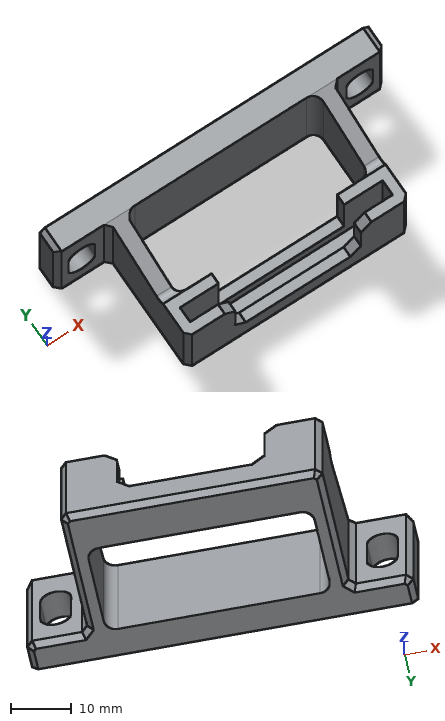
import cadquery as cq

plate_width = 65.0
plate_thickness = 5.0
plate_height = 20.0
edge_chamfer = 1.05

frame_width = 44.0
frame_depth = 23.1
side_wall = 3.0
corner_radius = 2.0

holder_height = 17.0
front_wall = 2.0
slot_thickness = 3.0
rear_wall = 2.1
slot_width = 40.05
slot_floor = 3.0

window_width = 24.8
window_floor = 6.05
window_chamfer = 2.1

slope_end_height = 16.2
slope_foot_width = 1.95

hole_width = 5.2
hole_height = 10.2
hole_spacing = 55.0

plate_front = -plate_thickness
frame_front = plate_front - frame_depth
slot_front = frame_front + front_wall
slot_rear = slot_front + slot_thickness
holder_rear = slot_rear + rear_wall


def block(width, front, rear, bottom, top):
    """Box centred on X between the given Y and Z limits."""
    return (
        cq.Workplane("XY")
        .box(width, rear - front, top - bottom, centered=(True, False, False))
        .translate((0, front, bottom))
    )


def make_plate():
    plate = block(plate_width, plate_front, 0, 0, plate_height)
    return plate.faces("<X or >X").edges("not(>Y or <Z)").chamfer(edge_chamfer)


def make_frame():
    frame = block(frame_width, frame_front, plate_front, 0, plate_height)
    frame = frame.edges("|Z and <Y").chamfer(edge_chamfer)
    return frame.union(make_wall_gussets())


def make_body():
    """Plate and solid frame, chamfered along the lower outline except at the rear."""
    body = make_plate().union(make_frame())
    return body.faces("<Z").edges("not(>Y)").chamfer(edge_chamfer)


def make_wall_gussets():
    """Bevels filling the outer corners between frame and plate."""
    half_width = frame_width / 2
    outline = [
        (-half_width - edge_chamfer, plate_front),
        (half_width + edge_chamfer, plate_front),
        (half_width, plate_front - edge_chamfer),
        (-half_width, plate_front - edge_chamfer),
    ]
    return cq.Workplane("XY").polyline(outline).close().extrude(plate_height)


def make_top_relief():
    """Space above the side walls, which slope down and curve up to the holder."""
    return (
        cq.Workplane("YZ")
        .moveTo(plate_front, plate_height)
        .lineTo(holder_rear + slope_foot_width, slope_end_height)
        .tangentArcPoint((holder_rear, holder_height), relative=False)
        .lineTo(frame_front, holder_height)
        .lineTo(frame_front, plate_height)
        .close()
        .extrude(plate_width / 2, both=True)
    )


def make_opening():
    opening = block(frame_width - 2 * side_wall, holder_rear, plate_front, 0, plate_height)
    return opening.edges("|Z").fillet(corner_radius)


def make_front_window():
    """Window in the front wall, with bevelled lower and upper corners."""
    half_width = window_width / 2
    outline = [
        (-half_width - window_chamfer, holder_height),
        (-half_width, holder_height - window_chamfer),
        (-half_width, window_floor + window_chamfer),
        (-half_width + window_chamfer, window_floor),
        (half_width - window_chamfer, window_floor),
        (half_width, window_floor + window_chamfer),
        (half_width, holder_height - window_chamfer),
        (half_width + window_chamfer, holder_height),
    ]
    return (
        cq.Workplane("XZ", origin=(0, slot_front, 0))
        .polyline(outline)
        .close()
        .extrude(front_wall)
    )


def make_mounting_holes():
    return (
        cq.Workplane("XZ")
        .pushPoints([(side * hole_spacing / 2, plate_height / 2) for side in (-1, 1)])
        .slot2D(hole_height, hole_width, 90)
        .extrude(plate_thickness)
    )


slot = block(slot_width, slot_front, slot_rear, slot_floor, holder_height)
rear_window = block(window_width, slot_rear, holder_rear, window_floor, holder_height)

result = (
    make_body()
    .cut(make_top_relief())
    .cut(make_opening())
    .cut(slot)
    .cut(rear_window)
    .cut(make_front_window())
    .cut(make_mounting_holes())
)